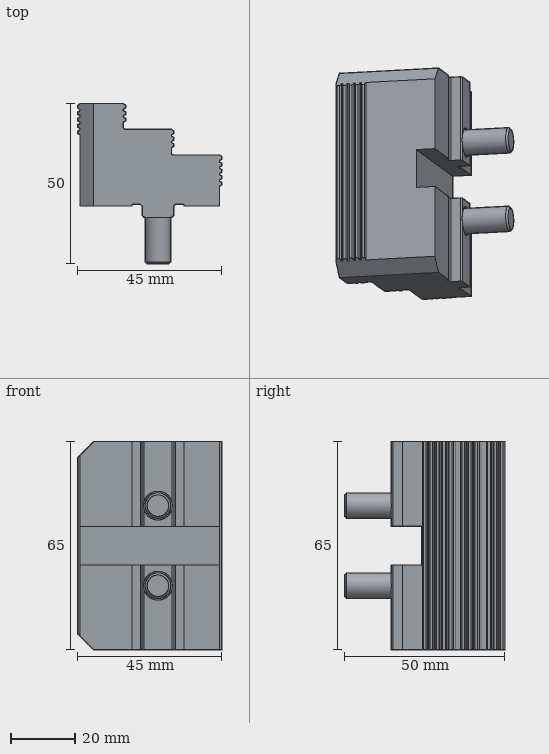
import cadquery as cq

height = 65.0
width = 45.0
step_count = 3
step_width = width / step_count
step_depth = 8.0
body_depth = 4 * step_depth
corner_chamfer = 5.0

tooth_depth = 0.7
tooth_pitch = step_depth / 4
groove_half_mouth = 0.6
groove_half_floor = 0.2
outer_teeth = 5
inner_teeth = 3
step_fillet = 0.5

tongue_center = 25.0
tongue_half_width = 4.95
tongue_tip_depth = 35.5
tongue_chamfer = 0.5
relief_half_width = 8.05
relief_depth = 0.5

keyway_height = 12.0
keyway_floor = 26.0

pin_tip_depth = 50.0
pin_diameter = 8.0
pin_chamfer = 0.65
pin_offset = 12.5
bore_diameter = 9.0
bore_floor = keyway_floor


def serrations(tip_x, outward, start_depth, teeth):
    """Points down one serrated face; outward is +1 or -1 along X."""
    root_x = tip_x - outward * tooth_depth
    points = []
    for i in range(teeth):
        upper = start_depth + i * tooth_pitch
        lower = upper + tooth_pitch
        upper_root = upper if i == 0 else upper + groove_half_floor
        points += [
            (root_x, -upper_root),
            (tip_x, -(upper + groove_half_mouth)),
            (tip_x, -(lower - groove_half_mouth)),
            (root_x, -(lower - groove_half_floor)),
        ]
    return points


def side_of_seat(side):
    """Points from the seating face to the tongue end on one side of the tongue."""
    wall_x = tongue_center + side * tongue_half_width
    relief_x = tongue_center + side * relief_half_width
    relief_y = -(body_depth - relief_depth)
    return [
        (relief_x, -body_depth),
        (relief_x, relief_y),
        (wall_x + side * tongue_chamfer, relief_y),
        (wall_x, relief_y - tongue_chamfer),
        (wall_x, -(tongue_tip_depth - tongue_chamfer)),
        (wall_x - side * tongue_chamfer, -tongue_tip_depth),
    ]


def stepped_body():
    outline = []
    for step in range(step_count):
        tip_x = (step + 1) * step_width
        root_x = tip_x - tooth_depth
        last = step == step_count - 1
        teeth = outer_teeth if last else inner_teeth
        outline += serrations(tip_x, 1, step * step_depth, teeth)
        floor_depth = body_depth if last else (step + 1) * step_depth
        outline.append((root_x, -floor_depth))
    outline += side_of_seat(1)
    outline += reversed(side_of_seat(-1))
    outline.append((tooth_depth, -body_depth))
    outline += reversed(serrations(0, -1, 0, outer_teeth))

    body = cq.Workplane("XY").polyline(outline).close().extrude(height / 2, both=True)
    for step in range(1, step_count):
        inner_corner = (step * step_width - tooth_depth, -step * step_depth, 0)
        body = body.edges(cq.selectors.NearestToPointSelector(inner_corner)).fillet(step_fillet)
    return body


def corner_cut(end):
    """Wedge removing the -X corner at the top (end = 1) or bottom (end = -1)."""
    corner_z = end * height / 2
    wedge = [
        (0, corner_z),
        (corner_chamfer, corner_z),
        (0, corner_z - end * corner_chamfer),
    ]
    return cq.Workplane("XZ").polyline(wedge).close().extrude(body_depth)


def keyway():
    cut_depth = tongue_tip_depth - keyway_floor
    cut = cq.Workplane("XY").box(width, cut_depth, keyway_height)
    return cut.translate((width / 2, -(keyway_floor + cut_depth / 2), 0))


def rod(z, diameter, start_depth, end_depth):
    """Cylinder on the tongue centreline, running toward -Y."""
    plane = cq.Workplane("XZ", origin=(tongue_center, -start_depth, z))
    return plane.circle(diameter / 2).extrude(end_depth - start_depth)


result = stepped_body()
for end in (1, -1):
    result = result.cut(corner_cut(end))
result = result.cut(keyway())
for z in (pin_offset, -pin_offset):
    pin = rod(z, pin_diameter, bore_floor, pin_tip_depth).faces("<Y").chamfer(pin_chamfer)
    result = result.cut(rod(z, bore_diameter, bore_floor, tongue_tip_depth)).union(pin)